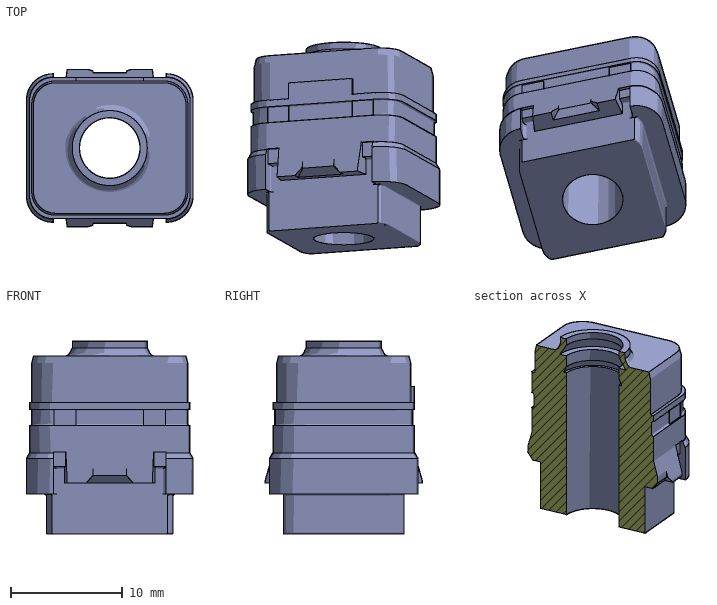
import cadquery as cq

SKIRT_BOTTOM = 3.58
SHOULDER_BOTTOM = 6.78
SHOULDER_TOP = 7.29
GROOVE_BOTTOM = 9.76
GROOVE_TOP = 11.21
FLANGE_TOP = 11.82
ROOF = 16.01
COLLAR_TOP = 17.34

HOUSING_X, HOUSING_Y, HOUSING_R = 14.42, 12.70, 2.12
CAP_X, CAP_Y, CAP_R = 14.04, 12.07, 2.14
SKIRT_X, SKIRT_Y = 15.0, 13.36
SKIRT_STEP = (SKIRT_X - HOUSING_X) / 2
SKIRT_R = HOUSING_R + SKIRT_STEP

PLUG_X, PLUG_Y, PLUG_R = 11.4, 10.86, 1.55
PLUG_CORNER_Y = 4.29
PLUG_BOTTOM_FILLET = 0.12
PLUG_TOP_FILLET = 0.17

CAP_CHAMFER_HEIGHT = 0.68
CAP_CHAMFER_WIDTH = 0.17

GROOVE_DEPTH = 0.2
GROOVE_FILLET = 0.13
PAD_FACE_Y = 6.23
PAD_INNER_X = 3.03
PAD_OUTER_X = 5.03

TAB_HALF_X = 3.03
TAB_TOP = 13.27

WINDOW_HALF_X = 5.07
WINDOW_FILLET = 0.3
RECESS_FACE_Y = 6.1
RECESS_TOP = 7.36
RECESS_BOTTOM = 6.05
RECESS_FILLET = 0.22

LATCH_SPAN_Y = 14.15
LATCH_TIP_Y = LATCH_SPAN_Y / 2
LATCH_ROOT_HALF_X = 4.06
LATCH_TIP_HALF_X = 3.83
LATCH_TIP_TOP = 4.78
LATCH_BOTTOM = 4.57
NOTCH_HALF_X = 1.5
NOTCH_FLARED_HALF_X = 2.13
NOTCH_FACE_Y = 6.77
NOTCH_FLARE_TOP = 5.26
NOTCH_UNDERCUT = 0.54

COLLAR_R = 3.375
COLLAR_LIP_BOTTOM = 16.73
COLLAR_CONE_R = 3.62
COLLAR_CONE_BOTTOM = 16.25
COLLAR_FOOT_R = 3.97

BORE_R = 2.71
SEAL_GROOVES = [(16.71, 15.67, 3.38), (14.60, 13.99, 2.99)]


def rounded_block(x_size, y_size, radius, bottom, top):
    block = cq.Workplane("XY").workplane(offset=bottom).rect(x_size, y_size).extrude(top - bottom)
    return block.edges("|Z").fillet(radius)


def box_between(x_range, y_range, z_range):
    (x0, x1), (y0, y1), (z0, z1) = x_range, y_range, z_range
    return cq.Workplane("XY").box(x1 - x0, y1 - y0, z1 - z0, centered=False).translate((x0, y0, z0))


def front_and_back(shape):
    """The front-side shape together with its mirror image at the back."""
    return shape.union(shape.mirror("XZ"))


def make_plug():
    full_y = 2 * (PLUG_CORNER_Y + PLUG_R)
    plug = rounded_block(PLUG_X, full_y, PLUG_R, 0, SHOULDER_TOP)
    flats = box_between((-PLUG_X / 2, PLUG_X / 2), (-PLUG_Y / 2, PLUG_Y / 2), (0, SHOULDER_TOP))
    plug = plug.intersect(flats)
    return plug.faces("<Z").edges("not |X").fillet(PLUG_BOTTOM_FILLET)


def make_cap():
    cap = rounded_block(CAP_X, CAP_Y, CAP_R, FLANGE_TOP, ROOF)
    return cap.faces(">Z").chamfer(CAP_CHAMFER_HEIGHT, CAP_CHAMFER_WIDTH)


def make_housing():
    below = rounded_block(HOUSING_X, HOUSING_Y, HOUSING_R, SKIRT_BOTTOM, GROOVE_BOTTOM)
    flange = rounded_block(HOUSING_X, HOUSING_Y, HOUSING_R, GROOVE_TOP, FLANGE_TOP)
    neck_x = HOUSING_X - 2 * GROOVE_DEPTH
    neck_y = HOUSING_Y - 2 * GROOVE_DEPTH
    neck = rounded_block(neck_x, neck_y, HOUSING_R - GROOVE_DEPTH, GROOVE_BOTTOM, GROOVE_TOP)
    return below.union(neck).union(flange)


def fillet_groove(housing):
    half_x = (HOUSING_X - GROOVE_DEPTH) / 2
    half_y = (HOUSING_Y - GROOVE_DEPTH) / 2
    slack = GROOVE_FILLET / 2
    inner_edges = cq.selectors.BoxSelector(
        (-half_x, -half_y, GROOVE_BOTTOM - slack), (half_x, half_y, GROOVE_TOP + slack), boundingbox=True
    )
    return housing.edges(inner_edges).edges("#Z").fillet(GROOVE_FILLET)


def make_groove_pads():
    pads = cq.Workplane("XY")
    for x_range in [(-PAD_OUTER_X, -PAD_INNER_X), (PAD_INNER_X, PAD_OUTER_X)]:
        pads = pads.add(box_between(x_range, (-PAD_FACE_Y, -PLUG_Y / 2), (GROOVE_BOTTOM, GROOVE_TOP)))
    return front_and_back(pads.combine())


def make_skirt():
    skirt = rounded_block(SKIRT_X, SKIRT_Y, SKIRT_R, SKIRT_BOTTOM, SHOULDER_TOP)
    return skirt.faces(">Z").chamfer(SHOULDER_TOP - SHOULDER_BOTTOM, SKIRT_STEP)


def make_window_cut():
    """Space opened in the front of the skirt, down to the plug face, with rounded inner corners."""
    x_range = (-WINDOW_HALF_X, WINDOW_HALF_X)
    lower_space = box_between(x_range, (-SKIRT_Y, -PLUG_Y / 2), (0, RECESS_BOTTOM))
    round_ends = lower_space.faces(">Y").edges("|Z").fillet(WINDOW_FILLET)
    round_ceiling = lower_space.edges(">Y and >Z").fillet(RECESS_FILLET)
    recess = box_between(x_range, (-SKIRT_Y, -RECESS_FACE_Y), (RECESS_BOTTOM, RECESS_TOP))
    return round_ends.intersect(round_ceiling).union(recess)


def make_latch():
    root_y = -PLUG_Y / 2
    wall_y = -HOUSING_Y / 2
    side_profile = [
        (root_y, LATCH_BOTTOM),
        (-LATCH_TIP_Y, LATCH_BOTTOM),
        (-LATCH_TIP_Y, LATCH_TIP_TOP),
        (wall_y, SHOULDER_TOP),
        (wall_y, RECESS_TOP),
        (root_y, RECESS_TOP),
    ]
    wedge = cq.Workplane("YZ").polyline(side_profile).close().extrude(LATCH_ROOT_HALF_X, both=True)
    plan_outline = [
        (-LATCH_ROOT_HALF_X, root_y),
        (LATCH_ROOT_HALF_X, root_y),
        (LATCH_TIP_HALF_X, -LATCH_TIP_Y),
        (-LATCH_TIP_HALF_X, -LATCH_TIP_Y),
    ]
    tapered_plan = cq.Workplane("XY").polyline(plan_outline).close().extrude(ROOF)
    return wedge.intersect(tapered_plan).cut(make_latch_notch())


def make_latch_notch():
    """Central notch: upright back face above, flared sides and an undercut back face below."""
    front_outline = [
        (-NOTCH_FLARED_HALF_X, LATCH_BOTTOM),
        (NOTCH_FLARED_HALF_X, LATCH_BOTTOM),
        (NOTCH_HALF_X, NOTCH_FLARE_TOP),
        (NOTCH_HALF_X, SHOULDER_TOP),
        (-NOTCH_HALF_X, SHOULDER_TOP),
        (-NOTCH_HALF_X, NOTCH_FLARE_TOP),
    ]
    side_outline = [
        (-SKIRT_Y, LATCH_BOTTOM),
        (-NOTCH_FACE_Y + NOTCH_UNDERCUT, LATCH_BOTTOM),
        (-NOTCH_FACE_Y, NOTCH_FLARE_TOP),
        (-NOTCH_FACE_Y, SHOULDER_TOP),
        (-SKIRT_Y, SHOULDER_TOP),
    ]
    front_prism = cq.Workplane("XZ").polyline(front_outline).close().extrude(SKIRT_Y)
    side_prism = cq.Workplane("YZ").polyline(side_outline).close().extrude(NOTCH_FLARED_HALF_X, both=True)
    return front_prism.intersect(side_prism)


def fillet_under_skirt(body):
    """Round the inner corner where the sides of the plug meet the underside of the skirt."""
    slack = PLUG_TOP_FILLET / 2
    for side in (-1, 1):
        x_ends = sorted((side * (WINDOW_HALF_X + slack), side * (PLUG_X / 2 + slack)))
        corner_edges = cq.selectors.BoxSelector(
            (x_ends[0], -PLUG_Y / 2 - slack, SKIRT_BOTTOM - slack),
            (x_ends[1], PLUG_Y / 2 + slack, SKIRT_BOTTOM + slack),
            boundingbox=True,
        )
        body = body.edges(corner_edges).fillet(PLUG_TOP_FILLET)
    return body


def make_collar():
    profile = (
        cq.Workplane("XZ")
        .moveTo(0, ROOF)
        .lineTo(0, COLLAR_TOP)
        .lineTo(COLLAR_R, COLLAR_TOP)
        .lineTo(COLLAR_R, COLLAR_LIP_BOTTOM)
        .lineTo(COLLAR_CONE_R, COLLAR_CONE_BOTTOM)
        .tangentArcPoint((COLLAR_FOOT_R, ROOF), relative=False)
        .close()
    )
    return profile.revolve(360, (0, 0, 0), (0, 1, 0))


def make_bore():
    bore = cq.Workplane("XY").circle(BORE_R).extrude(COLLAR_TOP)
    for top, floor, floor_radius in SEAL_GROOVES:
        outline = [(0, floor), (floor_radius, floor), (BORE_R, top), (0, top)]
        groove = cq.Workplane("XZ").polyline(outline).close().revolve(360, (0, 0, 0), (0, 1, 0))
        bore = bore.union(groove)
    return bore


def make_rear_tab():
    return box_between((-TAB_HALF_X, TAB_HALF_X), (0, HOUSING_Y / 2), (FLANGE_TOP, TAB_TOP))


body = fillet_groove(make_housing()).union(make_skirt())
body = body.cut(front_and_back(make_window_cut()))
body = body.union(make_plug())
body = fillet_under_skirt(body)
body = body.union(make_groove_pads()).union(front_and_back(make_latch()))
body = body.union(make_cap()).union(make_rear_tab()).union(make_collar())
result = body.cut(make_bore())